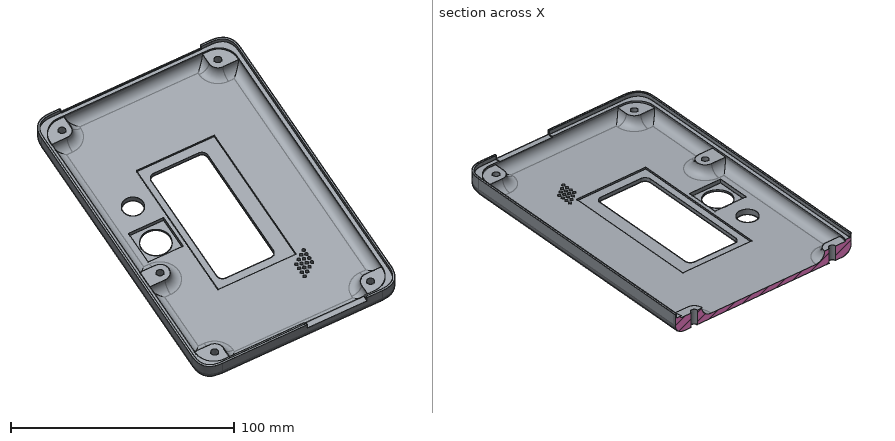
import cadquery as cq
length = 158.0
width = 102.0
height = 11.0
corner_reach = 10.0
edge_radius = 5.0
wall = 3.0
cavity_corner_radius = 9.5
floor = 3.0

lip_thickness = 1.0
lip_height = 2.0
ledge_z = height - lip_height

left_gap_width = 72.0
gap_drop = 0.5
gap_z = ledge_z - gap_drop
right_gap_start = 2.5
right_gap_end = 33.2

boss_radius = 4.6
boss_fillet = 5.0
boss_drop = 1.0
boss_top = ledge_z - boss_drop
screw_diameter = 3.5
boss_x = length / 2 - 9.0
boss_y = width / 2 - 11.0
middle_boss_x = 19.9

window_length = 66.0
window_width = 29.0
window_radius = 3.0
window_y = -2.0
seat_length = 75.0
seat_width = 40.0
seat_depth = 1.0

opening_y = -31.0
button_diameter = 10.5
button_x = -21.0
knob_diameter = 14.5
knob_seat_side = 18.0
knob_seat_depth = 2.0

speaker_diameter = 1.5
speaker_count = 4
speaker_pitch_x = 2.5
speaker_pitch_y = 2.2
speaker_row_shift = 1.7
speaker_x = 43.6
speaker_y = 20.7


def curved_block(inset, bottom, top):
    """Block inset evenly from the outer sides, with parabolic corners a little fuller than arcs."""
    x = length / 2 - inset
    y = width / 2 - inset
    reach = corner_reach - inset
    return (
        cq.Workplane("XY", origin=(0, 0, bottom))
        .moveTo(-x + reach, -y)
        .lineTo(x - reach, -y)
        .bezier([(x - reach, -y), (x, -y), (x, -y + reach)])
        .lineTo(x, y - reach)
        .bezier([(x, y - reach), (x, y), (x - reach, y)])
        .lineTo(-x + reach, y)
        .bezier([(-x + reach, y), (-x, y), (-x, y - reach)])
        .lineTo(-x, -y + reach)
        .bezier([(-x, -y + reach), (-x, -y), (-x + reach, -y)])
        .close()
        .extrude(top - bottom)
    )


def cavity_block(bottom, top):
    """Block filling the space between the walls."""
    return (
        cq.Workplane("XY", origin=(0, 0, bottom))
        .rect(length - 2 * wall, width - 2 * wall)
        .extrude(top - bottom)
        .edges("|Z")
        .fillet(cavity_corner_radius)
    )


def box(x_min, x_max, y_min, y_max, bottom, top):
    """Box between the given limits."""
    return (
        cq.Workplane("XY", origin=((x_min + x_max) / 2, (y_min + y_max) / 2, bottom))
        .rect(x_max - x_min, y_max - y_min)
        .extrude(top - bottom)
    )


def through_holes(points, diameter):
    """Round vertical cutters through the whole height."""
    return cq.Workplane("XY").pushPoints(points).circle(diameter / 2).extrude(height)


def boss(x, y, toward_x, toward_y):
    """Round post up to the ledge, carried out to the outer sides it faces (0 means none)."""
    post = cq.Workplane("XY").center(x, y).circle(boss_radius).extrude(ledge_z)
    x_far = x + toward_x * length
    y_far = y + toward_y * width
    if toward_x:
        post = post.union(box(min(x, x_far), max(x, x_far), y - boss_radius, y + boss_radius, 0, ledge_z))
    if toward_y:
        post = post.union(box(x - boss_radius, x + boss_radius, min(y, y_far), max(y, y_far), 0, ledge_z))
    if toward_x and toward_y:
        post = post.union(box(min(x, x_far), max(x, x_far), min(y, y_far), max(y, y_far), 0, ledge_z))
    return post


bosses = [(sx * boss_x, sy * boss_y, sx, sy) for sx in (-1, 1) for sy in (-1, 1)]
bosses.append((middle_boss_x, -boss_y, 0, -1))

cavity = cavity_block(floor, ledge_z)
for placement in bosses:
    cavity = cavity.cut(boss(*placement))
cavity = cavity.faces("<Z").edges().fillet(boss_fillet)
cavity = cavity.union(cavity_block(boss_top, ledge_z))

shell = curved_block(0, 0, height).faces("<Z").edges().fillet(edge_radius)
shell = shell.cut(curved_block(lip_thickness, ledge_z, height))
shell = shell.cut(cavity)

half_length = length / 2
half_gap = left_gap_width / 2
shell = shell.cut(box(-half_length, -half_length + lip_thickness, -half_gap, half_gap, gap_z, height))
shell = shell.cut(box(half_length - wall, half_length, right_gap_start, right_gap_end, gap_z, height))

shell = shell.cut(through_holes([(x, y) for x, y, _, _ in bosses], screw_diameter))

window = (
    cq.Workplane("XY")
    .center(0, window_y)
    .rect(window_length, window_width)
    .extrude(height)
    .edges("|Z")
    .fillet(window_radius)
)
seat = cq.Workplane("XY", origin=(0, 0, floor - seat_depth)).rect(seat_length, seat_width).extrude(height)
shell = shell.cut(window).cut(seat)

shell = shell.cut(through_holes([(button_x, opening_y)], button_diameter))
shell = shell.cut(through_holes([(0, opening_y)], knob_diameter))
knob_seat = (
    cq.Workplane("XY", origin=(0, opening_y, floor - knob_seat_depth))
    .rect(knob_seat_side, knob_seat_side)
    .extrude(knob_seat_depth)
)
shell = shell.cut(knob_seat)

middle = (speaker_count - 1) / 2
speaker_points = [
    (
        speaker_x + (column - middle) * speaker_pitch_x + (row - middle) * speaker_row_shift,
        speaker_y - (row - middle) * speaker_pitch_y,
    )
    for row in range(speaker_count)
    for column in range(speaker_count)
]
result = shell.cut(through_holes(speaker_points, speaker_diameter))